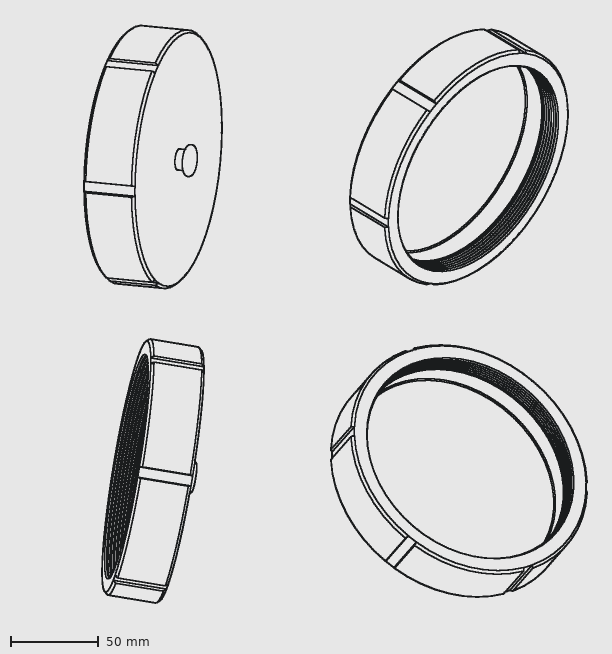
import cadquery as cq

outer_radius = 74.0
cap_length = 31.0
rim_chamfer_length = 1.6
grip_depth = 1.5
base_radius = outer_radius - grip_depth

slot_count = 6
slot_floor_width = 5.9
slot_mouth_width = 6.7

bore_radius = 64.1
thread_depth = 0.7
thread_pitch = 1.9
thread_turns = 6
thread_start = 1.0
bore_depth = 25.9

relief_start = thread_start + thread_turns * thread_pitch
relief_radius = bore_radius + thread_depth
floor_bevel = 0.7

stem_radius = 6.0
knob_radius = 9.2
knob_thickness = 3.5
knob_round = knob_thickness / 2
total_length = 39.5


def cylinder(radius, start, end):
    """Solid cylinder about X between two X positions."""
    return cq.Workplane("YZ", origin=(start, 0, 0)).circle(radius).extrude(end - start)


def make_body():
    """Outer drum with both rims bevelled."""
    profile = [
        (0, 0),
        (0, base_radius),
        (rim_chamfer_length, outer_radius),
        (cap_length - rim_chamfer_length, outer_radius),
        (cap_length, base_radius),
        (cap_length, 0),
    ]
    return cq.Workplane("XY").polyline(profile).close().revolve(360, (0, 0, 0), (1, 0, 0))


def make_slots():
    """Lengthwise slots with flared walls and a floor on the base cylinder."""
    flare = (slot_mouth_width - slot_floor_width) / 2
    inner_half_width = slot_floor_width / 2 - flare
    outer_half_width = slot_mouth_width / 2 + flare
    section = [
        (base_radius - grip_depth, -inner_half_width),
        (outer_radius + grip_depth, -outer_half_width),
        (outer_radius + grip_depth, outer_half_width),
        (base_radius - grip_depth, inner_half_width),
    ]
    slot = cq.Workplane("YZ").polyline(section).close().extrude(cap_length)
    slots = cq.Workplane("YZ")
    for index in range(slot_count):
        slots = slots.add(slot.rotate((0, 0, 0), (1, 0, 0), index * 360 / slot_count))
    return slots.combine().cut(cylinder(base_radius, 0, cap_length))


def make_bore():
    """Blind bore whose profile carries the V-shaped thread grooves."""
    root_radius = bore_radius + thread_depth
    profile = [(0, 0), (0, root_radius), (thread_start, bore_radius)]
    for turn in range(thread_turns):
        groove_start = thread_start + turn * thread_pitch
        profile.append((groove_start + thread_pitch / 2, root_radius))
        profile.append((groove_start + thread_pitch, bore_radius))
    profile += [
        (relief_start, relief_radius),
        (bore_depth - floor_bevel, relief_radius),
        (bore_depth, relief_radius - floor_bevel),
        (bore_depth, 0),
    ]
    return cq.Workplane("XY").polyline(profile).close().revolve(360, (0, 0, 0), (1, 0, 0))


def make_knob():
    """Stem with a fully rounded disc at its end."""
    disc_start = total_length - knob_thickness
    rim_centre_radius = knob_radius - knob_round
    disc = (
        cq.Workplane("XY")
        .moveTo(disc_start, 0)
        .lineTo(disc_start, rim_centre_radius)
        .threePointArc((disc_start + knob_round, knob_radius), (total_length, rim_centre_radius))
        .lineTo(total_length, 0)
        .close()
        .revolve(360, (0, 0, 0), (1, 0, 0))
    )
    return cylinder(stem_radius, cap_length, total_length - knob_round).union(disc)


result = make_body().cut(make_slots()).cut(make_bore()).union(make_knob())